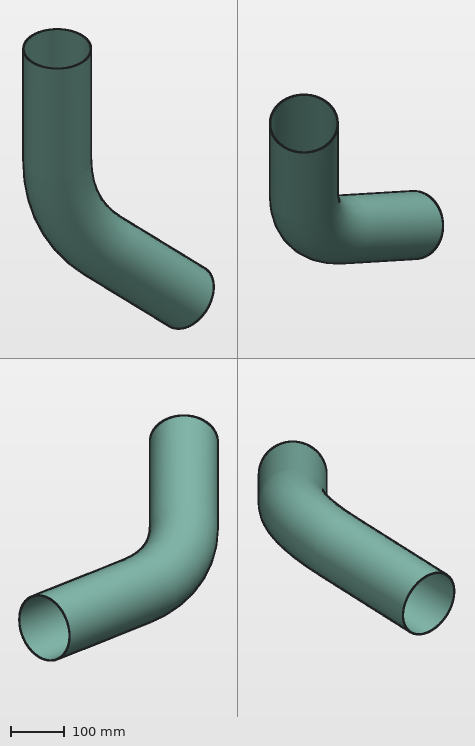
import cadquery as cq
import math

outer_diameter = 127.0
inner_diameter = 123.8
bend_radius = 2.5 * outer_diameter
bend_angle = 45.0
leg_length = 254.0


def arc_point(angle):
    """Centreline point (Y, Z) of the elbow, at an angle in degrees from its upper end."""
    turn = math.radians(angle)
    return (bend_radius * (1 - math.cos(turn)), -bend_radius * math.sin(turn))


def tube_centreline():
    """Vertical leg, elbow and inclined leg; the elbow starts at the origin."""
    lower_y, lower_z = arc_point(bend_angle)
    turn = math.radians(bend_angle)
    lower_end = (
        lower_y + leg_length * math.sin(turn),
        lower_z - leg_length * math.cos(turn),
    )
    return (
        cq.Workplane("YZ")
        .moveTo(0, leg_length)
        .lineTo(0, 0)
        .threePointArc(arc_point(bend_angle / 2), (lower_y, lower_z))
        .lineTo(*lower_end)
    )


def bent_tube():
    """Ring section swept from the upper open end to the lower open end."""
    return (
        cq.Workplane("XY", origin=(0, 0, leg_length))
        .circle(outer_diameter / 2)
        .circle(inner_diameter / 2)
        .sweep(tube_centreline())
    )


result = bent_tube()